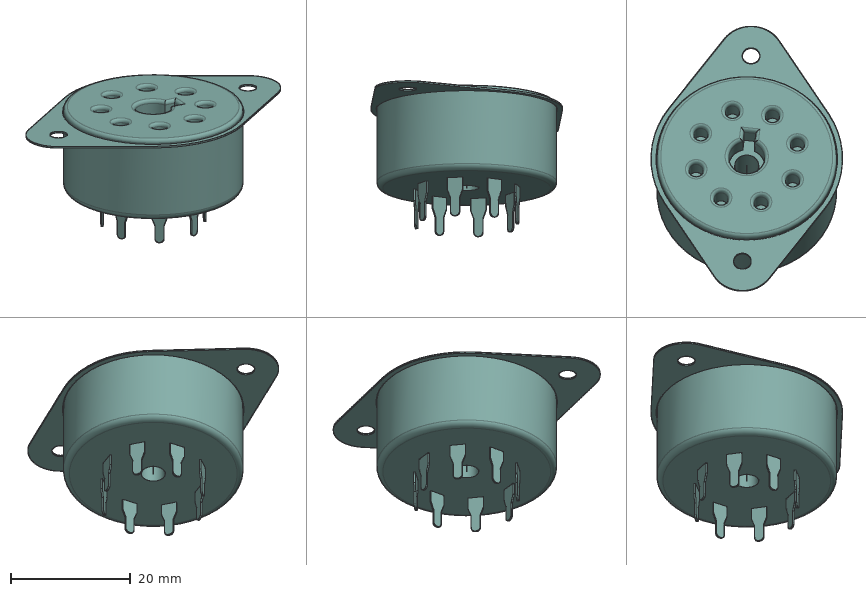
import cadquery as cq
import math

housing_diameter = 30.0
housing_height = 14.45
top_fillet = 0.65
bottom_fillet = 1.0

bore_diameter = 4.0
socket_diameter = 6.0
socket_depth = 3.7
key_width = 2.0
key_reach = 4.65
key_angle = 67.5
mouth_fillet = 0.6

contact_count = 8
hole_circle_radius = 8.75
contact_hole_diameter = 2.35
contact_hole_depth = socket_depth
blade_circle_radius = 8.65
blade_thickness = 0.3
blade_length = 6.5
blade_root_width = 2.65
blade_tip_width = 1.55
taper_start = 2.05
taper_end = 3.5
blade_tip_fillet = 0.7

plate_disc_radius = 16.0
plate_thickness = 0.3
plate_top_drop = 0.8
plate_opening_diameter = 30.2
ear_distance = 19.05
ear_angle = 72.0
plate_length = 47.15
ear_radius = plate_length / 2 - ear_distance * math.sin(math.radians(ear_angle))
screw_hole_diameter = 2.9

core_diameter = 0.1
core_length = housing_height - socket_depth

contact_angles = [i * 360 / contact_count for i in range(contact_count)]


def polar_point(radius, angle):
    """Return the XY point at a radius and an angle in degrees."""
    return (radius * math.cos(math.radians(angle)), radius * math.sin(math.radians(angle)))


def make_keyed_socket():
    """Round socket with one keyway, its floor at socket depth."""
    floor = housing_height - socket_depth
    keyway = (
        cq.Workplane("XY", origin=(0, 0, floor))
        .rect(key_reach, key_width)
        .extrude(socket_depth)
        .translate((key_reach / 2, 0, 0))
        .rotate((0, 0, 0), (0, 0, 1), key_angle)
    )
    return (
        cq.Workplane("XY", origin=(0, 0, floor))
        .circle(socket_diameter / 2)
        .extrude(socket_depth)
        .union(keyway)
    )


def make_contact_holes():
    """Ring of blind holes open at the top face."""
    return (
        cq.Workplane("XY", origin=(0, 0, housing_height))
        .pushPoints([polar_point(hole_circle_radius, angle) for angle in contact_angles])
        .circle(contact_hole_diameter / 2)
        .extrude(-contact_hole_depth)
    )


def make_blade(angle):
    """Flat solder blade, wide at the root and rounded at the tip, facing outward."""
    half_root = blade_root_width / 2
    half_tip = blade_tip_width / 2
    return (
        cq.Workplane("YZ")
        .polyline([
            (-half_root, 0),
            (-half_root, -taper_start),
            (-half_tip, -taper_end),
            (-half_tip, -blade_length),
            (half_tip, -blade_length),
            (half_tip, -taper_end),
            (half_root, -taper_start),
            (half_root, 0),
        ])
        .close()
        .extrude(blade_thickness / 2, both=True)
        .faces("<Z")
        .edges("|X")
        .fillet(blade_tip_fillet)
        .translate((blade_circle_radius, 0, 0))
        .rotate((0, 0, 0), (0, 0, 1), angle)
    )


def make_housing():
    """Socket housing together with its contact blades."""
    openings = make_keyed_socket().union(make_contact_holes())
    body = (
        cq.Workplane("XY")
        .circle(housing_diameter / 2)
        .extrude(housing_height)
        .faces("<Z")
        .edges()
        .fillet(bottom_fillet)
        .faces(">Z")
        .edges()
        .fillet(top_fillet)
        .cut(openings)
    )

    rims = body.faces(">Z").val().innerWires()
    body = body.newObject([edge for rim in rims for edge in rim.Edges()]).fillet(mouth_fillet)

    body = body.cut(cq.Workplane("XY").circle(bore_diameter / 2).extrude(housing_height))
    for angle in contact_angles:
        body = body.union(make_blade(angle))
    return body


def make_plate():
    """Diamond-shaped plate: the disc and ears joined by their common tangents."""
    tangent_angle = math.degrees(math.acos((plate_disc_radius - ear_radius) / ear_distance))
    bottom = housing_height - plate_top_drop - plate_thickness

    def disc_point(angle):
        return polar_point(plate_disc_radius, angle)

    def ear_point(direction, angle):
        centre_x, centre_y = polar_point(ear_distance, direction)
        offset_x, offset_y = polar_point(ear_radius, angle)
        return (centre_x + offset_x, centre_y + offset_y)

    outline = cq.Workplane("XY", origin=(0, 0, bottom)).moveTo(*disc_point(ear_angle - tangent_angle))
    for direction in (ear_angle, ear_angle + 180):
        leave = direction + tangent_angle
        outline = (
            outline.lineTo(*ear_point(direction, direction - tangent_angle))
            .threePointArc(ear_point(direction, direction), ear_point(direction, leave))
            .lineTo(*disc_point(leave))
            .threePointArc(disc_point(direction + 90), disc_point(direction + 180 - tangent_angle))
        )
    screw_points = [polar_point(ear_distance, angle) for angle in (ear_angle, ear_angle + 180)]
    openings = (
        cq.Workplane("XY", origin=(0, 0, bottom))
        .circle(plate_opening_diameter / 2)
        .pushPoints(screw_points)
        .circle(screw_hole_diameter / 2)
        .extrude(plate_thickness)
    )
    return outline.close().extrude(plate_thickness).cut(openings)


def make_core():
    """Thin rod on the housing axis, clear of the bore wall."""
    return cq.Workplane("XY").circle(core_diameter / 2).extrude(core_length)


housing = make_housing()
plate = make_plate()
core = make_core()
result = cq.Compound.makeCompound([housing.val(), plate.val(), core.val()])